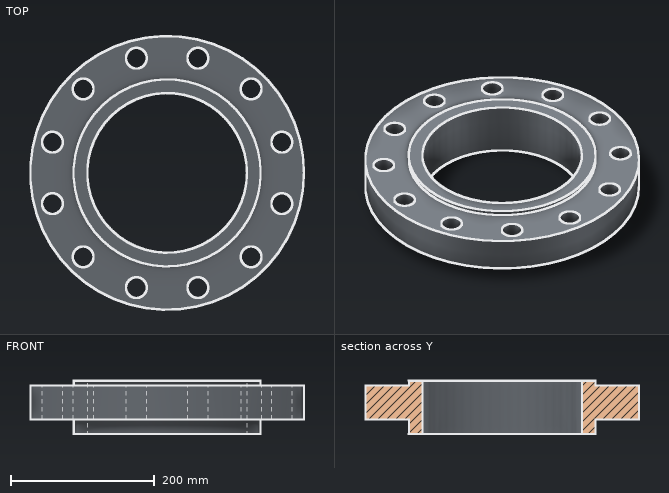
import cadquery as cq

flange_diameter = 381.0
face_diameter = 260.2
hub_diameter = face_diameter
bore_diameter = 221.7
bolt_circle_diameter = 330.5
bolt_hole_diameter = 28.5

total_height = 74.5
face_height = 7.0
flange_height = 47.5
hub_height = total_height - flange_height - face_height

bolt_count = 12
bolt_spacing_angle = 360 / bolt_count
first_bolt_angle = bolt_spacing_angle / 2


def disc(diameter, height, base_z):
    return cq.Workplane("XY").workplane(offset=base_z).circle(diameter / 2).extrude(height)


hub = disc(hub_diameter, hub_height, 0)
flange = disc(flange_diameter, flange_height, hub_height)
raised_face = disc(face_diameter, face_height, hub_height + flange_height)
body = hub.union(flange).union(raised_face)

bore = disc(bore_diameter, total_height, 0)

bolt_holes = (
    cq.Workplane("XY")
    .workplane(offset=hub_height)
    .polarArray(bolt_circle_diameter / 2, first_bolt_angle, 360, bolt_count)
    .circle(bolt_hole_diameter / 2)
    .extrude(flange_height)
)

result = body.cut(bore).cut(bolt_holes)